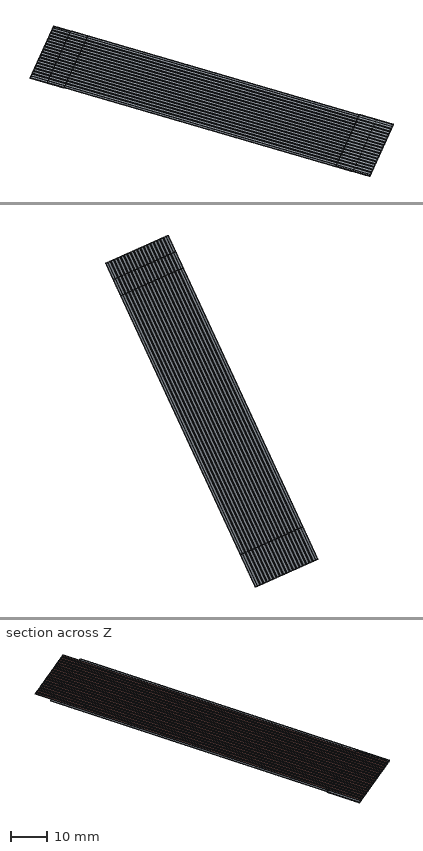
import cadquery as cq

length = 100.0
thickness = 0.59
pitch = 1.0
conductor_count = 18
width = (conductor_count + 1) * pitch

conductor_width = 0.7
conductor_thickness = 0.05
film_thickness = 0.045
stiffener_thickness = (thickness - conductor_thickness - 2 * film_thickness) / 2

contact_length = 5.0
stiffener_length = 10.0

x_left = -length / 2
x_right = length / 2
z_lower_stiffener = -thickness / 2
z_lower_film = z_lower_stiffener + stiffener_thickness
z_conductor = z_lower_film + film_thickness
z_upper_film = z_conductor + conductor_thickness
z_upper_stiffener = z_upper_film + film_thickness


def layer(x_start, x_end, z_bottom, layer_thickness, layer_width=width, y_center=0):
    """Flat rectangular layer running from x_start to x_end, centred on y_center."""
    return (
        cq.Workplane("XY")
        .box(x_end - x_start, layer_width, layer_thickness, centered=(False, True, False))
        .translate((x_start, y_center, z_bottom))
    )


def add_conductors(body):
    """Join the row of parallel conductors, leaving open gaps between them."""
    for index in range(conductor_count):
        y_center = (index - (conductor_count - 1) / 2) * pitch
        conductor = layer(x_left, x_right, z_conductor, conductor_thickness, conductor_width, y_center)
        body = body.union(conductor)
    return body


lower_stiffener = layer(x_left, x_left + stiffener_length, z_lower_stiffener, stiffener_thickness)
lower_film = layer(x_left, x_right - contact_length, z_lower_film, film_thickness)

upper_film = layer(x_left + contact_length, x_right, z_upper_film, film_thickness)
upper_stiffener = layer(x_right - stiffener_length, x_right, z_upper_stiffener, stiffener_thickness)

lower_side = lower_stiffener.union(lower_film)
upper_side = upper_film.union(upper_stiffener)
result = add_conductors(lower_side).union(upper_side)